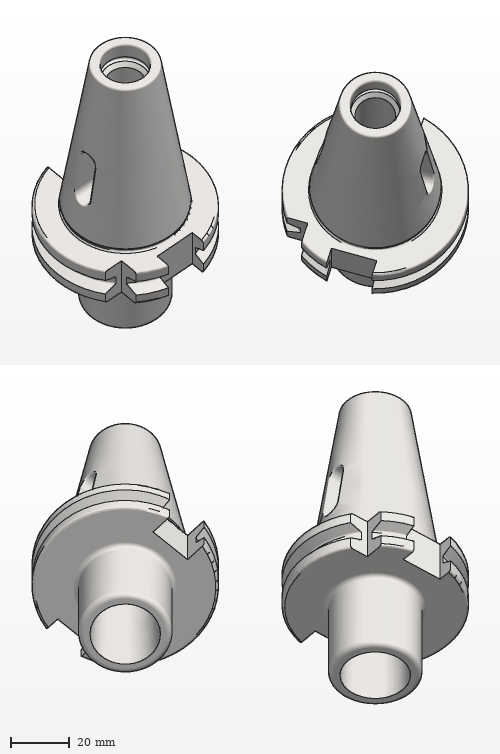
import cadquery as cq
import math

total_height = 118.4
flange_bottom = 30.9
flange_top = 46.8
gauge_plane = 50.0

gauge_radius = 22.3
taper_ratio = 7 / 24
taper_slope = taper_ratio / 2
taper_bottom = 48.8
neck_radius = 22.1
neck_chamfer_height = 0.7
neck_fillet = 0.6
top_fillet = 1.0

flange_diameter = 63.6
flange_radius = flange_diameter / 2
flange_fillet = 1.0
groove_radius = 28.0
groove_center = 38.8
groove_root_width = 3.3
groove_flank_angle = 25
groove_fillet = 0.6

sleeve_radius = 16.0
sleeve_fillet = 2.0
shoulder_fillet = 1.8

drive_slot_width = 16.1
left_slot_floor = 22.5
right_slot_floor = 25.1
notch_offset = 18.5
cut_overrun = 1.2

cross_slot_width = 7.1
cross_slot_bottom = 61.8
cross_slot_top = 84.5
cross_slot_fillet = 0.5

counterbore_radius = 8.5
mouth_fillet = 1.0
undercut_radius = 9.5
undercut_top = 112.2
undercut_bottom = 110.0
undercut_fillet = 0.6
blind_hole_radius = 7.0
blind_hole_bottom = 80.5
drill_tip_angle = 118
pilot_radius = 4.5

socket_mouth_radius = 12.0
socket_slope = 0.025
socket_top = 71.0


def taper_radius(z):
    """Radius of the outer taper at height z."""
    return gauge_radius - (z - gauge_plane) * taper_slope


def revolve_profile(points):
    """Turn a closed outline of (radius, z) points around the Z axis."""
    return cq.Workplane("XZ").polyline(points).close().revolve(360, (0, 0, 0), (0, 1, 0))


def fillet_ring(part, radius, z, fillet):
    """Round the full circular edge of the given radius at height z."""
    tolerance = 0.01

    def is_ring(edge):
        box = edge.BoundingBox()
        is_level = max(abs(box.zmin - z), abs(box.zmax - z)) < tolerance
        return is_level and abs(box.xmax - radius) < tolerance

    ring = [edge for edge in part.edges().vals() if is_ring(edge)]
    return part.newObject(ring).fillet(fillet)


def turned_body():
    """Sleeve, grooved flange and taper as one turned solid."""
    flank_rise = (flange_radius - groove_radius) * math.tan(math.radians(groove_flank_angle))
    root_half = groove_root_width / 2
    opening_half = root_half + flank_rise
    nose_radius = taper_radius(total_height)
    body = revolve_profile([
        (0, 0),
        (sleeve_radius, 0),
        (sleeve_radius, flange_bottom),
        (flange_radius, flange_bottom),
        (flange_radius, groove_center - opening_half),
        (groove_radius, groove_center - root_half),
        (groove_radius, groove_center + root_half),
        (flange_radius, groove_center + opening_half),
        (flange_radius, flange_top),
        (neck_radius, flange_top),
        (neck_radius, taper_bottom - neck_chamfer_height),
        (taper_radius(taper_bottom), taper_bottom),
        (nose_radius, total_height),
        (0, total_height),
    ])
    rounded_rings = [
        (sleeve_radius, 0, sleeve_fillet),
        (sleeve_radius, flange_bottom, shoulder_fillet),
        (flange_radius, flange_bottom, flange_fillet),
        (groove_radius, groove_center - root_half, groove_fillet),
        (groove_radius, groove_center + root_half, groove_fillet),
        (flange_radius, flange_top, flange_fillet),
        (neck_radius, flange_top, neck_fillet),
        (nose_radius, total_height, top_fillet),
    ]
    for radius, z, fillet in rounded_rings:
        body = fillet_ring(body, radius, z, fillet)
    return body


def flange_block(x_min, x_max, y_min, y_max):
    """Box over the flange height between the given X and Y limits."""
    return (
        cq.Workplane("XY", origin=(x_min, y_min, flange_bottom))
        .box(x_max - x_min, y_max - y_min, flange_top - flange_bottom, centered=False)
    )


def cross_slot():
    """Round-ended slot along Y through the whole taper."""
    height = cross_slot_top - cross_slot_bottom
    return (
        cq.Workplane("XZ", origin=(0, 0, cross_slot_bottom + height / 2))
        .slot2D(height, cross_slot_width, 90)
        .extrude(gauge_radius, both=True)
    )


def fillet_cross_slot(part):
    """Round the slot rims where the slot breaks through the taper."""
    tolerance = 0.1

    def is_rim(edge):
        box = edge.BoundingBox()
        is_in_height = box.zmin > cross_slot_bottom - tolerance and box.zmax < cross_slot_top + tolerance
        is_in_width = box.xlen < cross_slot_width + tolerance
        return is_in_height and is_in_width

    rims = [edge for edge in part.edges().vals() if is_rim(edge)]
    return part.newObject(rims).fillet(cross_slot_fillet)


def inner_passage():
    """Everything removed along the axis: socket, pilot hole and upper bore."""
    seat_height = counterbore_radius - blind_hole_radius
    half_tip = math.radians(drill_tip_angle / 2)
    tip_height = (blind_hole_radius - pilot_radius) / math.tan(half_tip)
    passage = revolve_profile([
        (0, 0),
        (socket_mouth_radius, 0),
        (socket_mouth_radius - socket_slope * socket_top, socket_top),
        (pilot_radius, socket_top),
        (pilot_radius, blind_hole_bottom - tip_height),
        (blind_hole_radius, blind_hole_bottom),
        (blind_hole_radius, undercut_bottom - seat_height),
        (counterbore_radius, undercut_bottom),
        (undercut_radius, undercut_bottom),
        (undercut_radius, undercut_top),
        (counterbore_radius, undercut_top),
        (counterbore_radius, total_height),
        (0, total_height),
    ])
    for z in (undercut_bottom, undercut_top):
        passage = fillet_ring(passage, undercut_radius, z, undercut_fillet)
    return passage


outside = flange_radius + cut_overrun
half_slot = drive_slot_width / 2

result = fillet_cross_slot(turned_body().cut(cross_slot()))
result = fillet_ring(result.cut(inner_passage()), counterbore_radius, total_height, mouth_fillet)
result = result.cut(flange_block(-outside, -left_slot_floor, -half_slot, half_slot))
result = result.cut(flange_block(right_slot_floor, outside, -half_slot, half_slot))
result = result.cut(flange_block(notch_offset, outside, -outside, -notch_offset))